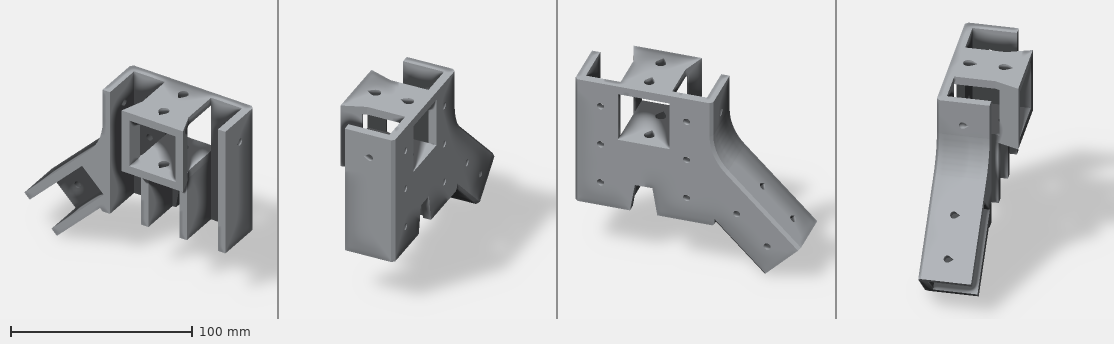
import cadquery as cq
import math

block_size = 80.0
half_block = block_size / 2
depth = 30.0
back_thickness = 5.0
edge_chamfer = 1.7

channel_width = 20.3
channel_pitch = 25.0
channel_offsets = (-channel_pitch, 0, channel_pitch)

window_size = 30.0
sleeve_wall = 5.0
sleeve_size = window_size + 2 * sleeve_wall
sleeve_depth = 42.0
flare_start = 28.1
side_opening_depth = 30.8
sleeve_bottom = block_size - sleeve_size

notch_height = 17.3
notch_top_width = 10.2
notch_bottom_width = 15.8

arm_slope = 45
arm_width = 30.0
arm_reach = 50.9
arm_root_height = 45.7
arm_slot_length = 48.2
arm_slot_width = 20.0
arm_blend_radius = 30.0
arm_hole_inset = 12.0
arm_side_hole_inset = 12.8
foot_width = 1.2
foot_height = 1.2

screw_radius = 4.0 / 2
screw_spacing = 25.0
screw_rows = [half_block + step * screw_spacing for step in (-1, 0, 1)]
side_hole_depth = 14.8
sleeve_hole_radius = 3.0
sleeve_hole_depths = (10.0, 30.0)
teardrop_tip_ratio = 1.7

slope_cos = math.cos(math.radians(arm_slope))
slope_sin = math.sin(math.radians(arm_slope))
arm_top_x = -half_block - arm_reach
arm_top_z = arm_root_height - arm_reach * math.tan(math.radians(arm_slope))


def arm_point(along, across):
    """X and Z of a point along the arm axis and across it (positive is up-left)."""
    drop = arm_width / 2 - across
    x = arm_top_x + along * slope_cos + drop * slope_sin
    z = arm_top_z + along * slope_sin - drop * slope_cos
    return x, z


def prism(points, near, far):
    """Extrude an XZ outline from a near to a far distance in front of the back face."""
    return cq.Workplane("XZ", origin=(0, -near, 0)).polyline(points).close().extrude(far - near)


def box(x_min, x_max, z_min, z_max, near, far):
    corners = [(x_min, z_min), (x_max, z_min), (x_max, z_max), (x_min, z_max)]
    return prism(corners, near, far)


def teardrop(plane, radius, length):
    """Round hole with a pointed tip in local -Y, centred lengthwise on the plane."""
    tip = teardrop_tip_ratio * radius
    tangent_y = -radius / teardrop_tip_ratio
    tangent_x = math.sqrt(radius**2 - tangent_y**2)
    outline = (
        cq.Workplane(plane)
        .moveTo(0, -tip)
        .lineTo(tangent_x, tangent_y)
        .threePointArc((0, radius), (-tangent_x, tangent_y))
        .close()
    )
    return outline.extrude(length / 2, both=True)


def make_body():
    """Block and arm as one solid outline, with the outer back edges chamfered."""
    blend_half_angle = math.radians((90 - arm_slope) / 2)
    blend_length = arm_blend_radius * math.tan(blend_half_angle)
    blend_center = (-half_block - arm_blend_radius, arm_root_height + blend_length)
    blend_middle = (
        blend_center[0] + arm_blend_radius * math.cos(blend_half_angle),
        blend_center[1] - arm_blend_radius * math.sin(blend_half_angle),
    )
    blend_end = (-half_block - blend_length * slope_cos, arm_root_height - blend_length * slope_sin)
    arm_bottom = arm_point(0, -arm_width / 2)
    foot_x = -half_block - foot_width
    foot_z = arm_bottom[1] + (foot_x - arm_bottom[0]) * math.tan(math.radians(arm_slope))
    body = (
        cq.Workplane("XZ")
        .moveTo(half_block, 0)
        .lineTo(half_block, block_size)
        .lineTo(-half_block, block_size)
        .lineTo(-half_block, blend_center[1])
        .threePointArc(blend_middle, blend_end)
        .lineTo(arm_top_x, arm_top_z)
        .lineTo(*arm_bottom)
        .lineTo(foot_x, foot_z)
        .lineTo(foot_x, foot_height)
        .lineTo(-half_block, 0)
        .close()
        .extrude(depth)
    )
    edge_points = [
        (half_block, half_block),
        (-half_block, (block_size + blend_center[1]) / 2),
        blend_middle,
        arm_point(arm_width, arm_width / 2),
        arm_point(arm_width, -arm_width / 2),
    ]
    back_edges = body.faces(">Y").edges()
    outer_edges = [
        min(back_edges.vals(), key=lambda edge: edge.distance(cq.Vertex.makeVertex(x, 0, z)))
        for x, z in edge_points
    ]
    return body.newObject(outer_edges).chamfer(edge_chamfer)


def make_sleeve():
    """Neck and flared rim, before the square window is cut."""
    half_neck = window_size / 2
    half_rim = sleeve_size / 2
    return (
        cq.Workplane("XY", origin=(0, 0, sleeve_bottom))
        .polyline([
            (-half_neck, 0),
            (-half_neck, -flare_start),
            (-half_rim, -sleeve_depth),
            (half_rim, -sleeve_depth),
            (half_neck, -flare_start),
            (half_neck, 0),
        ])
        .close()
        .extrude(sleeve_size)
    )


def cut_channels(body):
    for x in channel_offsets:
        left = x - channel_width / 2
        right = x + channel_width / 2
        body = body.cut(box(left, right, 0, block_size, back_thickness, depth))
    return body


def cut_arm_slot(body):
    half_slot = arm_slot_width / 2
    corners = [
        arm_point(0, -half_slot),
        arm_point(arm_slot_length, -half_slot),
        arm_point(arm_slot_length, half_slot),
        arm_point(0, half_slot),
    ]
    return body.cut(prism(corners, back_thickness, depth))


def cut_notch(body):
    half_top = notch_top_width / 2
    half_bottom = notch_bottom_width / 2
    corners = [(-half_bottom, 0), (half_bottom, 0), (half_top, notch_height), (-half_top, notch_height)]
    return body.cut(prism(corners, 0, back_thickness))


def cut_window(body):
    half = window_size / 2
    bottom = sleeve_bottom + sleeve_wall
    top = bottom + window_size
    body = body.cut(box(-half, half, bottom, top, 0, sleeve_depth))
    half_rim = sleeve_size / 2
    return body.cut(box(-half_rim, half_rim, bottom, top, back_thickness, side_opening_depth))


def cut_back_holes(body):
    arm_centers = [arm_point(arm_hole_inset + step * screw_spacing, 0) for step in (0, 1)]
    block_centers = [(x, z) for x in (-channel_pitch, channel_pitch) for z in screw_rows]
    holes = cq.Workplane("XZ").pushPoints(arm_centers + block_centers)
    return body.cut(holes.circle(screw_radius).extrude(back_thickness))


def cut_side_holes(body):
    """Pointed holes through both outer walls of the block and the upper wall of the arm."""
    block_plane = cq.Plane(origin=(0, -side_hole_depth, screw_rows[-1]), xDir=(0, 0, 1), normal=(-1, 0, 0))
    body = body.cut(teardrop(block_plane, screw_radius, block_size))
    for step in (0, 1):
        x, z = arm_point(arm_side_hole_inset + step * screw_spacing, arm_width / 2)
        arm_plane = cq.Plane(
            origin=(x, -side_hole_depth, z),
            xDir=(slope_cos, 0, slope_sin),
            normal=(-slope_sin, 0, slope_cos),
        )
        body = body.cut(teardrop(arm_plane, screw_radius, arm_width / 2))
    return body


def cut_sleeve_holes(body):
    for hole_depth in sleeve_hole_depths:
        plane = cq.Plane(
            origin=(0, -hole_depth, sleeve_bottom + sleeve_size / 2),
            xDir=(1, 0, 0),
            normal=(0, 0, 1),
        )
        body = body.cut(teardrop(plane, sleeve_hole_radius, sleeve_size))
    return body


result = cut_channels(make_body())
result = cut_arm_slot(result)
result = result.union(make_sleeve())
result = cut_notch(result)
result = cut_window(result)
result = cut_back_holes(result)
result = cut_side_holes(result)
result = cut_sleeve_holes(result)